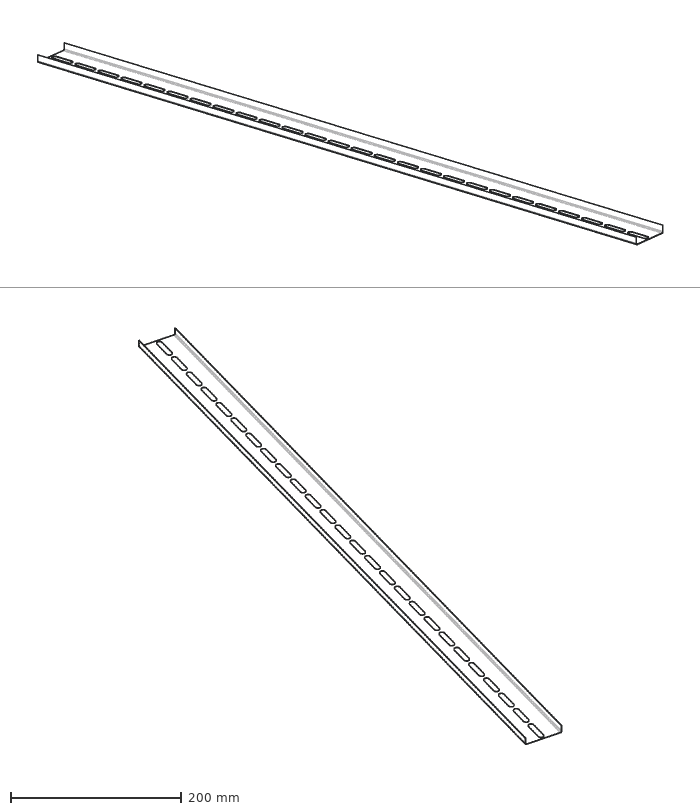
import cadquery as cq

length = 910.0
width = 50.0
height = 10.0
sheet = 1.0
inner_bend_radius = sheet
outer_bend_radius = inner_bend_radius + sheet

slot_count = 26
slot_pitch = length / slot_count
slot_length = 30.0
slot_width = 7.0


def rounded_trough(trough_width, bottom, bend_radius):
    """Full-length block from bottom to the flange tops, with its two lower long edges rounded."""
    block = cq.Workplane("XY", origin=(0, 0, bottom)).box(
        length, trough_width, height - bottom, centered=(True, True, False)
    )
    return block.edges("|X and <Z").fillet(bend_radius)


def channel():
    """Flat base with an upright flange bent up along each long side."""
    outside = rounded_trough(width, 0, outer_bend_radius)
    inside = rounded_trough(width - 2 * sheet, sheet, inner_bend_radius)
    return outside.cut(inside)


def base_slots():
    """Round-ended slots through the base, one in the middle of each pitch."""
    return (
        cq.Workplane("XY")
        .rarray(slot_pitch, 9, slot_count, 1)
        .slot2D(slot_length, slot_width)
        .extrude(sheet)
    )


result = channel().cut(base_slots())